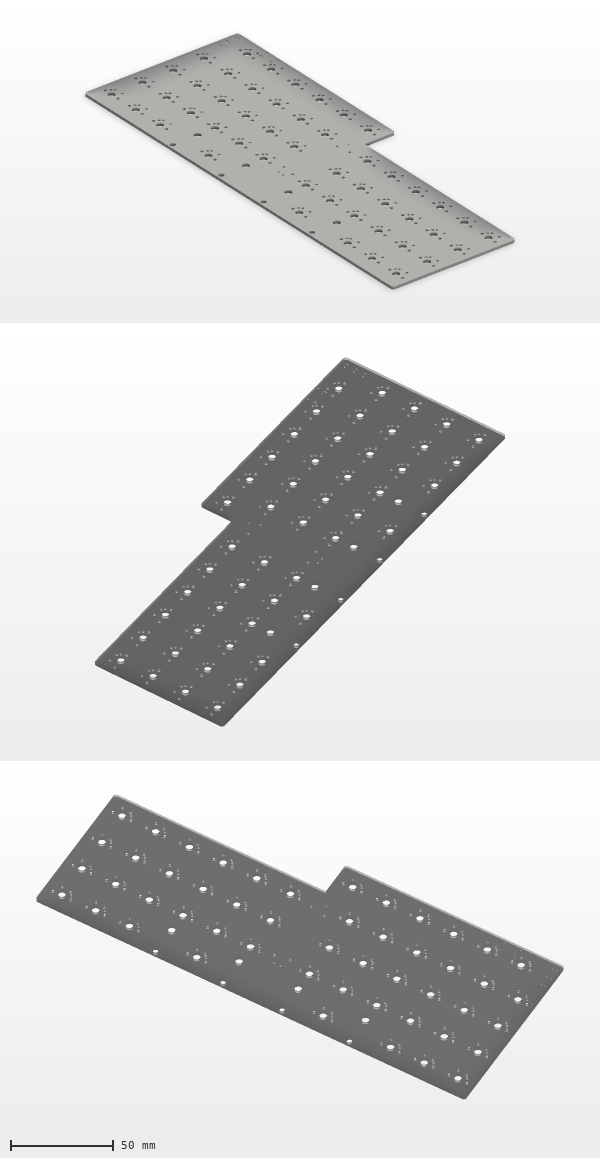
import cadquery as cq

LENGTH = 243.0
THICKNESS = 1.6
QUARTER_PITCHES_LONG = 51
PITCH = 4 * LENGTH / QUARTER_PITCHES_LONG
ROWS = 5
WIDTH = ROWS * PITCH
TOP_ROW_LENGTH = 6.5 * PITCH
CORNER_RADIUS = 1.58

KEYS_PER_BLOCK = 6
LEFT_COLUMNS = [0.5 + i for i in range(KEYS_PER_BLOCK)]
TOP_COLUMNS = [1.0 + i for i in range(KEYS_PER_BLOCK)]
RIGHT_COLUMNS = [QUARTER_PITCHES_LONG / 4 - KEYS_PER_BLOCK + column for column in LEFT_COLUMNS]
WIDE_KEY_COLUMNS = [LEFT_COLUMNS[4], RIGHT_COLUMNS[1]]
BOTTOM_COLUMNS = LEFT_COLUMNS[:3] + WIDE_KEY_COLUMNS + RIGHT_COLUMNS[3:]

GRID = PITCH / 15
POST_DIAMETER = 2 * 2.0
PEG_DIAMETER = 1.75
PEG_OFFSET = 4 * GRID
PIN_DIAMETER = 1.48
OUTER_PIN = (-3 * GRID, 2 * GRID)
INNER_PIN = (OUTER_PIN[0] + 1.3, OUTER_PIN[1] + 1.5)
RIGHT_PIN = (-INNER_PIN[0], INNER_PIN[1] + 0.7)
PIN_OFFSETS = [OUTER_PIN, INNER_PIN, RIGHT_PIN]

STABILIZER_LARGE_DIAMETER = POST_DIAMETER
STABILIZER_LARGE_RISE = 8.3
STABILIZER_SMALL_DIAMETER = 2 * 1.53
STABILIZER_SMALL_DROP = 7.0

PAIR_DIAMETER = 0.9
PAIR_COLUMNS = [2.7, 4.9]
PAIR_DEPTHS = [3.2, 8.7, 14.0]

USB_X = (TOP_COLUMNS[0] + TOP_COLUMNS[1]) / 2 * PITCH
USB_PEG_DIAMETER = 0.65
USB_PEG_OFFSET = 3.0
USB_PEG_DEPTH = 4.5
USB_SLOT_WIDTH = 0.65
USB_SLOT_OFFSET = 4.4
USB_FRONT_SLOT_LENGTH = 1.2
USB_FRONT_SLOT_DEPTH = 1.0
USB_REAR_SLOT_LENGTH = 1.7
USB_REAR_SLOT_DEPTH = 5.0

SOCKET_X = (LEFT_COLUMNS[-1] + RIGHT_COLUMNS[0]) / 2 * PITCH
SOCKET_PIN_DIAMETER = PIN_DIAMETER
SOCKET_PIN_OFFSET = 4.1
UPPER_LEFT_PIN_RISE = 16.5
UPPER_RIGHT_PIN_RISE = 18.0
LOWER_LEFT_PIN_DROP = 16.0
LOWER_RIGHT_PIN_DROP = 17.2
SOCKET_PEG_OFFSET = 1.82
UPPER_PEG_DIAMETER = 0.9
UPPER_PEG_RISE = 21.9
LOWER_PEG_DIAMETER = 1.2
LOWER_PEG_DROP = 21.4


def key_row(row, columns):
    """Key centers of one row, with row 0 at the top."""
    y = WIDTH - (row + 0.5) * PITCH
    return [(column * PITCH, y) for column in columns]


def both_sides(x, y, offset):
    """Two points at the same height, left and right of x."""
    return [(x - offset, y), (x + offset, y)]


def drill(plate, diameter, points):
    """Cut round through holes at the given points."""
    drills = cq.Workplane("XY").pushPoints(points).circle(diameter / 2).extrude(THICKNESS)
    return plate.cut(drills)


def mill_usb_slots(plate, length, depth):
    """Cut a slot along Y on each side of the USB socket."""
    centers = both_sides(USB_X, WIDTH - depth, USB_SLOT_OFFSET)
    slots = cq.Workplane("XY").pushPoints(centers).slot2D(length, USB_SLOT_WIDTH, 90).extrude(THICKNESS)
    return plate.cut(slots)


def make_blank():
    """Plate with a step at the top right, rounded outer corners and a sharp inner corner."""
    blank = cq.Workplane("XY").rect(LENGTH, WIDTH, centered=False).extrude(THICKNESS)
    step = (
        cq.Workplane("XY")
        .moveTo(TOP_ROW_LENGTH, WIDTH - PITCH)
        .rect(LENGTH - TOP_ROW_LENGTH, PITCH, centered=False)
        .extrude(THICKNESS)
    )
    outer_corners = "(|Z and <X) or (|Z and >X) or (|Z and >Y)"
    return blank.cut(step).edges(outer_corners).fillet(CORNER_RADIUS)


def add_keys(plate):
    keys = key_row(0, TOP_COLUMNS)
    for row in range(1, ROWS - 1):
        keys += key_row(row, LEFT_COLUMNS + RIGHT_COLUMNS)
    keys += key_row(ROWS - 1, BOTTOM_COLUMNS)
    pegs = [peg for x, y in keys for peg in both_sides(x, y, PEG_OFFSET)]
    pins = [(x + dx, y + dy) for x, y in keys for dx, dy in PIN_OFFSETS]
    plate = drill(plate, POST_DIAMETER, keys)
    plate = drill(plate, PEG_DIAMETER, pegs)
    return drill(plate, PIN_DIAMETER, pins)


def add_stabilizers(plate):
    wide_keys = key_row(ROWS - 1, WIDE_KEY_COLUMNS)
    stabilizers = [point for x, y in wide_keys for point in both_sides(x, y, PITCH)]
    large_holes = [(x, y + STABILIZER_LARGE_RISE) for x, y in stabilizers]
    small_holes = [(x, y - STABILIZER_SMALL_DROP) for x, y in stabilizers]
    plate = drill(plate, STABILIZER_LARGE_DIAMETER, large_holes)
    return drill(plate, STABILIZER_SMALL_DIAMETER, small_holes)


def add_corner_pairs(plate):
    points = [(x, WIDTH - depth) for x in PAIR_COLUMNS for depth in PAIR_DEPTHS]
    return drill(plate, PAIR_DIAMETER, points)


def add_usb_socket(plate):
    plate = drill(plate, USB_PEG_DIAMETER, both_sides(USB_X, WIDTH - USB_PEG_DEPTH, USB_PEG_OFFSET))
    plate = mill_usb_slots(plate, USB_FRONT_SLOT_LENGTH, USB_FRONT_SLOT_DEPTH)
    return mill_usb_slots(plate, USB_REAR_SLOT_LENGTH, USB_REAR_SLOT_DEPTH)


def add_gap_sockets(plate):
    """Two pin holes per socket; the upper socket has one peg hole and the lower one has two."""
    middle_y = WIDTH / 2
    left_pin_x = SOCKET_X - SOCKET_PIN_OFFSET
    right_pin_x = SOCKET_X + SOCKET_PIN_OFFSET
    pins = [
        (left_pin_x, middle_y + UPPER_LEFT_PIN_RISE),
        (right_pin_x, middle_y + UPPER_RIGHT_PIN_RISE),
        (left_pin_x, middle_y - LOWER_LEFT_PIN_DROP),
        (right_pin_x, middle_y - LOWER_RIGHT_PIN_DROP),
    ]
    upper_peg = (SOCKET_X - SOCKET_PEG_OFFSET, middle_y + UPPER_PEG_RISE)
    lower_pegs = both_sides(SOCKET_X, middle_y - LOWER_PEG_DROP, SOCKET_PEG_OFFSET)
    plate = drill(plate, SOCKET_PIN_DIAMETER, pins)
    plate = drill(plate, UPPER_PEG_DIAMETER, [upper_peg])
    return drill(plate, LOWER_PEG_DIAMETER, lower_pegs)


plate = make_blank()
plate = add_keys(plate)
plate = add_stabilizers(plate)
plate = add_corner_pairs(plate)
plate = add_usb_socket(plate)
result = add_gap_sockets(plate)